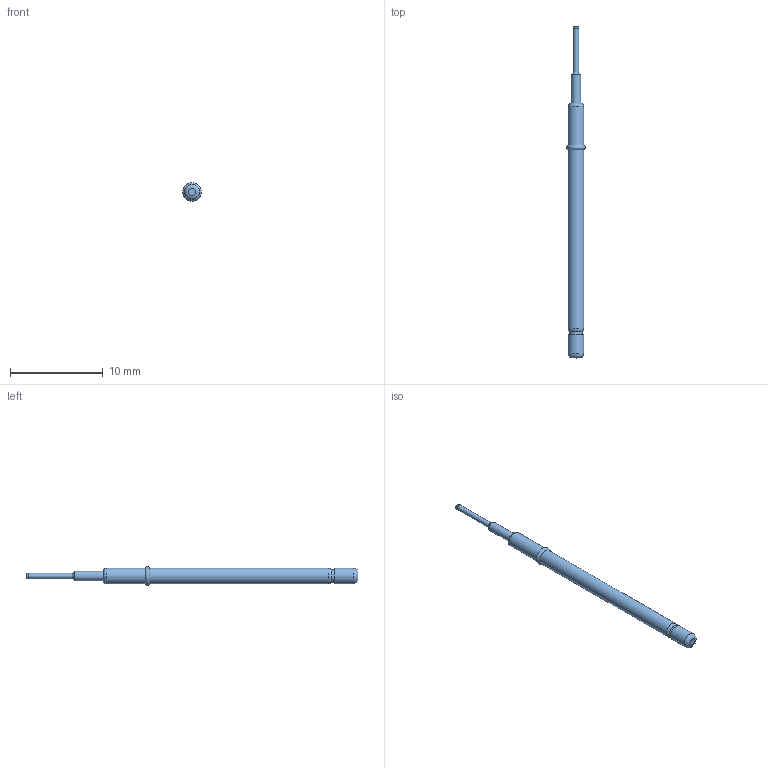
import cadquery as cq
import math


total_length = 35.7
barrel_radius = 0.825
barrel_length = 27.4
rear_round = 0.43
mouth_round = 0.35

tail_length = 2.5
groove_floor_length = 0.34
groove_depth = 0.14
groove_round = 0.38

ring_position = 22.65
ring_outer_radius = 1.0
ring_half_width = 0.25

sleeve_radius = 0.5
sleeve_end = 30.72
needle_radius = 0.3
sleeve_taper_length = 0.23
tip_length = 0.25
tip_draft = 0.01


def point_on_round(center_radius, center_y, radius, angle):
    """Point on a round at the given angle in degrees from the outward radial direction."""
    angle_radians = math.radians(angle)
    return center_radius + radius * math.cos(angle_radians), center_y + radius * math.sin(angle_radians)


def make_barrel():
    """Barrel with rounded ends and the crimp groove."""
    groove_radius = barrel_radius - groove_depth
    groove_start = tail_length
    groove_end = groove_start + groove_floor_length
    shoulder_angle = math.acos(1 - groove_depth / groove_round)
    shoulder_y = groove_end + groove_round * math.sin(shoulder_angle)
    shoulder_center = barrel_radius - groove_round
    shoulder_middle = point_on_round(
        shoulder_center, shoulder_y, groove_round, -math.degrees(shoulder_angle) / 2
    )
    rear_center = barrel_radius - rear_round
    mouth_center = barrel_radius - mouth_round
    mouth_y = barrel_length - mouth_round
    profile = (
        cq.Workplane("XY")
        .lineTo(rear_center, 0)
        .threePointArc(point_on_round(rear_center, rear_round, rear_round, -45), (barrel_radius, rear_round))
        .lineTo(barrel_radius, groove_start)
        .lineTo(groove_radius, groove_start)
        .lineTo(groove_radius, groove_end)
        .threePointArc(shoulder_middle, (barrel_radius, shoulder_y))
        .lineTo(barrel_radius, mouth_y)
        .threePointArc(point_on_round(mouth_center, mouth_y, mouth_round, 45), (mouth_center, barrel_length))
        .lineTo(0, barrel_length)
        .close()
    )
    return profile.revolve(360, (0, 0, 0), (0, 1, 0))


def make_ring():
    """Half-round press ring, modelled as a solid disc around the barrel."""
    round_center = ring_outer_radius - ring_half_width
    low = ring_position - ring_half_width
    high = ring_position + ring_half_width
    profile = (
        cq.Workplane("XY")
        .moveTo(0, low)
        .lineTo(round_center, low)
        .threePointArc((ring_outer_radius, ring_position), (round_center, high))
        .lineTo(0, high)
        .close()
    )
    return profile.revolve(360, (0, 0, 0), (0, 1, 0))


def make_plunger():
    """Sleeve, taper and needle, starting at the barrel mouth."""
    tip_start = total_length - tip_length
    profile = (
        cq.Workplane("XY")
        .moveTo(0, barrel_length)
        .lineTo(sleeve_radius, barrel_length)
        .lineTo(sleeve_radius, sleeve_end - sleeve_taper_length)
        .lineTo(needle_radius, sleeve_end)
        .lineTo(needle_radius, tip_start)
        .lineTo(needle_radius - tip_draft, total_length)
        .lineTo(0, total_length)
        .close()
    )
    return profile.revolve(360, (0, 0, 0), (0, 1, 0))


result = make_barrel().union(make_ring()).union(make_plunger())